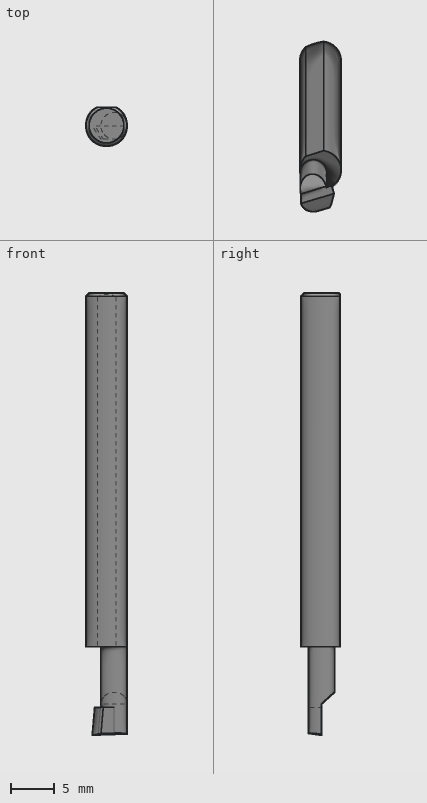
import cadquery as cq
import math

TOTAL_LENGTH = 50.8

SHANK_DIAMETER = 4.76
SHANK_RADIUS = SHANK_DIAMETER / 2
WIDTH_ACROSS_FLAT = 4.51
FLAT_Y = WIDTH_ACROSS_FLAT - SHANK_RADIUS
CHAMFER = 0.38

NECK_DIAMETER = 3.05
NECK_RADIUS = NECK_DIAMETER / 2
NECK_LENGTH = 10.16
NECK_X = SHANK_RADIUS - NECK_RADIUS

RAKE_Z = 3.6
RUNOUT_ANGLE = 42.0

HEAD_HEIGHT = 3.2
TIP_X = -1.65
HEAD_LEAN = 5.0
FLANK_DEPTH = 1.1
FLANK_X = -1.0
HEEL_X = -0.65
HEEL_Y = -NECK_RADIUS

END_ANGLE_X = 2.0
END_ANGLE_Y = 6.5


def slope(angle):
    return math.tan(math.radians(angle))


def make_shank():
    shank = (
        cq.Workplane("XY", origin=(0, 0, NECK_LENGTH))
        .circle(SHANK_RADIUS)
        .extrude(TOTAL_LENGTH - NECK_LENGTH)
        .faces(">Z")
        .chamfer(CHAMFER)
    )
    beyond_flat = cq.Workplane("XY").box(
        2 * SHANK_DIAMETER, SHANK_DIAMETER, TOTAL_LENGTH, centered=(True, False, False)
    )
    return shank.cut(beyond_flat.translate((0, FLAT_Y, 0)))


def make_neck():
    neck = cq.Workplane("XY").center(NECK_X, 0).circle(NECK_RADIUS).extrude(NECK_LENGTH)
    runout_y = NECK_DIAMETER
    rake_cut = (
        cq.Workplane("YZ", origin=(-SHANK_DIAMETER, 0, 0))
        .moveTo(0, 0)
        .lineTo(0, RAKE_Z)
        .lineTo(runout_y, RAKE_Z + runout_y * slope(RUNOUT_ANGLE))
        .lineTo(runout_y, 0)
        .close()
        .extrude(2 * SHANK_DIAMETER)
    )
    return neck.cut(rake_cut)


def head_outline(shift):
    return [
        (TIP_X + shift, 0),
        (FLANK_X + shift, -FLANK_DEPTH),
        (HEEL_X + shift, HEEL_Y),
        (NECK_X, HEEL_Y),
        (NECK_X, 0),
    ]


def make_head():
    top_shift = HEAD_HEIGHT * slope(HEAD_LEAN)
    return (
        cq.Workplane("XY")
        .polyline(head_outline(0))
        .close()
        .workplane(offset=HEAD_HEIGHT)
        .polyline(head_outline(top_shift))
        .close()
        .loft(ruled=True)
    )


def make_end_relief():
    size = 2 * SHANK_DIAMETER
    normal = (-slope(END_ANGLE_X), slope(END_ANGLE_Y), 1)
    end_plane = cq.Plane(origin=(TIP_X, 0, 0), xDir=(1, 0, slope(END_ANGLE_X)), normal=normal)
    return cq.Workplane(end_plane).rect(2 * size, 2 * size).extrude(-size)


result = make_shank().union(make_neck()).union(make_head()).cut(make_end_relief())